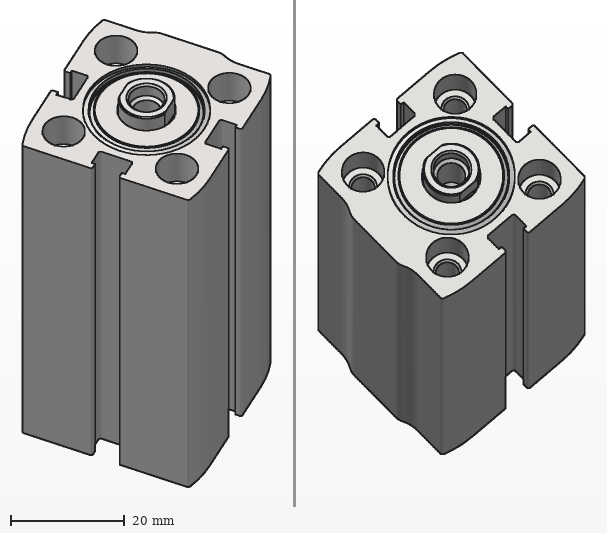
import cadquery as cq
import math

total_height = 75.0
rod_projection = 3.0
housing_height = total_height - rod_projection
housing_width = 34.5
half_width = housing_width / 2

front_y = -half_width
ridge_y = 18.2
back_y = 17.1
ridge_top_half = 5.4
ridge_foot_half = 9.9
ridge_crest_share = 1 / 3
side_flat_half = 10.7
side_radius = 20.0
corner_radius = 0.5

slot_mouth_width = 5.2
slot_inner_width = 6.5
slot_lip_depth = 1.3
slot_depth = 4.5
slot_fillet = 0.45
slot_mouth_radius = 0.4

mount_spacing = 22.0
mount_hole_dia = 4.1
mount_chamfer_dia = 4.95
mount_counterbore_dia = 7.5
mount_counterbore_depth = 7.0

groove_dia = 22.4
groove_floor_depth = 0.9
ring_inner_dia = 20.5
ring_top_depth = 0.1
ring_slope = 30.0
collar_dia = 20.0
collar_cone_top_dia = 18.7
collar_slope = 38.0
collar_lip_dia = 18.2
collar_lip_height = 0.15

rod_recess_dia = 10.35
rod_recess_depth = 1.0

rod_dia = 10.0
rod_length = 30.0
rod_chamfer = 0.2
rod_flat_half = 4.5
rod_flat_length = 4.0
rod_flat_runout_slope = 30.0
rod_bore_dia = 6.4
rod_bore_depth = 2.7
rod_bore_chamfer = 0.4
rod_tap_dia = 4.95
rod_tap_depth = 12.0
drill_point_angle = 118.0


def revolved(profile):
    """Solid of revolution about Z from (radius, height) points."""
    return cq.Workplane("XZ").polyline(profile).close().revolve(360, (0, 0, 0), (0, 1, 0))


def curved_side_x(y):
    """Half width of the housing at a Y position beyond the flat part of an X side."""
    beyond_flat = abs(y) - side_flat_half
    return half_width - side_radius + math.sqrt(side_radius**2 - beyond_flat**2)


def extrusion():
    """Housing profile with curved side ends and an S-flanked ridge, before the slots."""
    front_x = curved_side_x(front_y)
    back_x = curved_side_x(back_y)
    front_arc_y = (front_y - side_flat_half) / 2
    back_arc_y = (back_y + side_flat_half) / 2
    front_arc_x = curved_side_x(front_arc_y)
    back_arc_x = curved_side_x(back_arc_y)
    flank_x = ridge_top_half + ridge_crest_share * (ridge_foot_half - ridge_top_half)
    flank_y = ridge_y - ridge_crest_share * (ridge_y - back_y)
    return (
        cq.Workplane("XY")
        .moveTo(-front_x, front_y)
        .lineTo(front_x, front_y)
        .threePointArc((front_arc_x, front_arc_y), (half_width, -side_flat_half))
        .lineTo(half_width, side_flat_half)
        .threePointArc((back_arc_x, back_arc_y), (back_x, back_y))
        .lineTo(ridge_foot_half, back_y)
        .tangentArcPoint((flank_x, flank_y), relative=False)
        .tangentArcPoint((ridge_top_half, ridge_y), relative=False)
        .lineTo(-ridge_top_half, ridge_y)
        .tangentArcPoint((-flank_x, flank_y), relative=False)
        .tangentArcPoint((-ridge_foot_half, back_y), relative=False)
        .lineTo(-back_x, back_y)
        .threePointArc((-back_arc_x, back_arc_y), (-half_width, side_flat_half))
        .lineTo(-half_width, -side_flat_half)
        .threePointArc((-front_arc_x, front_arc_y), (-front_x, front_y))
        .close()
        .extrude(housing_height)
    )


def round_corners(body):
    """Fillet the four outer vertical corners."""
    for y in (front_y, back_y):
        for x in (-curved_side_x(y), curved_side_x(y)):
            corner = cq.selectors.NearestToPointSelector((x, y, housing_height / 2))
            body = body.edges(corner).fillet(corner_radius)
    return body


def round_slot_mouths(body):
    """Fillet the outer lip edges of the three T-slots."""
    half_mouth = slot_mouth_width / 2
    mouth_edges = [(x, front_y) for x in (-half_mouth, half_mouth)]
    mouth_edges += [(x, y) for x in (-half_width, half_width) for y in (-half_mouth, half_mouth)]
    for x, y in mouth_edges:
        edge = cq.selectors.NearestToPointSelector((x, y, housing_height / 2))
        body = body.edges(edge).fillet(slot_mouth_radius)
    return body


def t_slot(angle):
    """T-slot cutter for the -Y face, turned about Z by the given angle."""
    mouth = cq.Workplane("XY").box(
        slot_mouth_width, slot_depth, housing_height, centered=(True, False, False)
    )
    inner = (
        cq.Workplane("XY")
        .box(slot_inner_width, slot_depth - slot_lip_depth, housing_height, centered=(True, False, False))
        .edges("|Z and >Y")
        .fillet(slot_fillet)
        .translate((0, slot_lip_depth, 0))
    )
    return mouth.union(inner).translate((0, -half_width, 0)).rotate((0, 0, 0), (0, 0, 1), angle)


def mounting_hole(x, y):
    """Through hole with a chamfered mouth in the floor of its counterbore."""
    floor = housing_height - mount_counterbore_depth
    hole_radius = mount_hole_dia / 2
    mouth_radius = mount_chamfer_dia / 2
    counterbore_radius = mount_counterbore_dia / 2
    profile = [
        (0, 0),
        (hole_radius, 0),
        (hole_radius, floor - (mouth_radius - hole_radius)),
        (mouth_radius, floor),
        (counterbore_radius, floor),
        (counterbore_radius, housing_height),
        (0, housing_height),
    ]
    return revolved(profile).translate((x, y, 0))


def collar_groove():
    """Cutter for the ring groove, leaving the collar cone and the sloped ring standing."""
    wall_radius = groove_dia / 2
    ring_radius = ring_inner_dia / 2
    collar_radius = collar_dia / 2
    ring_top = housing_height - ring_top_depth
    ring_foot = ring_top - (wall_radius - ring_radius) * math.tan(math.radians(ring_slope))
    cone_top_radius = collar_cone_top_dia / 2
    lip_radius = collar_lip_dia / 2
    cone_top = housing_height - collar_lip_height
    cone_foot = cone_top - (collar_radius - cone_top_radius) * math.tan(math.radians(collar_slope))
    floor = housing_height - groove_floor_depth
    profile = [
        (wall_radius, housing_height),
        (wall_radius, ring_foot),
        (ring_radius, ring_top),
        (ring_radius, floor),
        (collar_radius, floor),
        (collar_radius, cone_foot),
        (cone_top_radius, cone_top),
        (lip_radius, cone_top),
        (lip_radius, housing_height),
    ]
    return revolved(profile)


def rod_recess():
    """Cutter for the clearance around the rod where it leaves the collar."""
    return (
        cq.Workplane("XY")
        .workplane(offset=housing_height - rod_recess_depth)
        .circle(rod_recess_dia / 2)
        .extrude(rod_recess_depth)
    )


def rod_blank():
    """Plain rod cylinder, also the bore that it fills in the housing."""
    return (
        cq.Workplane("XY")
        .workplane(offset=total_height - rod_length)
        .circle(rod_dia / 2)
        .extrude(rod_length)
    )


def make_housing():
    housing = round_corners(extrusion())
    for angle in (0, 90, -90):
        housing = housing.cut(t_slot(angle))
    housing = round_slot_mouths(housing)
    for x in (-mount_spacing / 2, mount_spacing / 2):
        for y in (-mount_spacing / 2, mount_spacing / 2):
            housing = housing.cut(mounting_hole(x, y))
    return housing.cut(collar_groove()).cut(rod_recess()).cut(rod_blank())


def rod_socket():
    """Cutter for the tapped hole in the rod end and the wider bore above it."""
    tap_radius = rod_tap_dia / 2
    bore_radius = rod_bore_dia / 2
    tap_floor = total_height - rod_tap_depth
    tip = tap_floor - tap_radius / math.tan(math.radians(drill_point_angle / 2))
    bore_floor = total_height - rod_bore_depth
    step_drop = (bore_radius - tap_radius) / math.tan(math.radians(drill_point_angle / 2))
    profile = [
        (0, tip),
        (tap_radius, tap_floor),
        (tap_radius, bore_floor - step_drop),
        (bore_radius, bore_floor),
        (bore_radius, total_height - rod_bore_chamfer),
        (bore_radius + rod_bore_chamfer, total_height),
        (0, total_height),
    ]
    return revolved(profile)


def rod_flat(side):
    """Cutter for the wrench flat on one X side, ending in a sloped run-out."""
    outer_x = rod_dia
    end = total_height - rod_flat_length
    drop = (outer_x - rod_flat_half) * math.tan(math.radians(rod_flat_runout_slope))
    profile = [
        (side * rod_flat_half, total_height),
        (side * rod_flat_half, end),
        (side * outer_x, end - drop),
        (side * outer_x, total_height),
    ]
    return cq.Workplane("XZ").polyline(profile).close().extrude(rod_dia / 2, both=True)


def make_rod():
    rod = rod_blank().faces(">Z").chamfer(rod_chamfer)
    for side in (-1, 1):
        rod = rod.cut(rod_flat(side))
    return rod.cut(rod_socket())


housing = make_housing()
rod = make_rod()
result = cq.Compound.makeCompound([housing.val(), rod.val()])